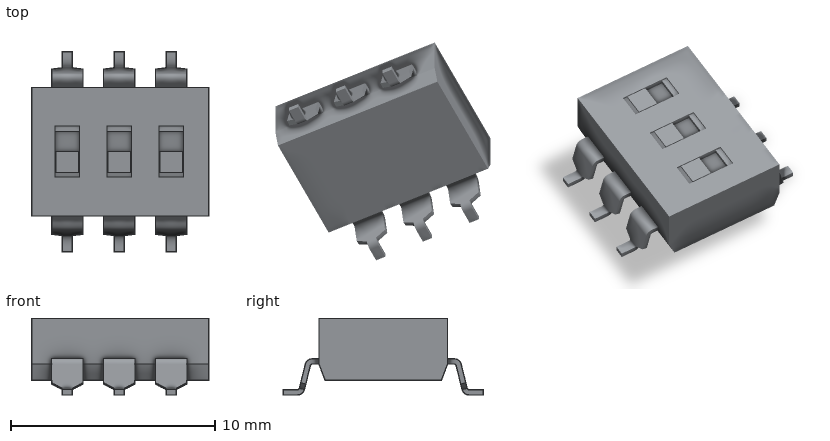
import cadquery as cq
import math


body_length = 8.66
body_width = 6.3
overall_width = 9.8
overall_height = 3.75

body_bottom = 0.72
undercut_inset = 0.3

position_count = 3
pitch = 2.54
row_offset = -0.05
row_centers = [row_offset + (i - (position_count - 1) / 2) * pitch for i in range(position_count)]

slot_width = 1.2
slot_length = 2.5
ledge_depth = 0.1
ledge_length = 0.27
slot_depth = 0.3
slider_width = 1.1
slider_length = 1.02

lead_thickness = 0.265
lead_top = 1.775
lead_width = 1.54
foot_width = 0.5
shoulder_length = 0.327
slant_angle = math.radians(14)
bend_inner_radius = 0.085
taper_length = 0.28

lead_reach = (overall_width - body_width) / 2
lead_bottom = lead_top - lead_thickness
bend_outer_radius = bend_inner_radius + lead_thickness
shoulder_center = (shoulder_length, lead_top - bend_outer_radius)
foot_center_z = lead_thickness + bend_inner_radius
radius_sum = bend_outer_radius + bend_inner_radius
center_drop = shoulder_center[1] - foot_center_z
slant_length = (center_drop + radius_sum * math.sin(slant_angle)) / math.cos(slant_angle)
foot_center_u = (
    shoulder_length + radius_sum * math.cos(slant_angle) + slant_length * math.sin(slant_angle)
)
foot_center = (foot_center_u, foot_center_z)


def polar(center, radius, angle):
    """Point at the given radius and angle around a bend center."""
    return (center[0] + radius * math.cos(angle), center[1] + radius * math.sin(angle))


def extrude_across(profile, width):
    """Extrude a YZ profile to the given width, centered on X = 0."""
    return profile.extrude(width / 2, both=True)


def make_body():
    """Block whose two long sides slope inwards below the leads."""
    half_width = body_width / 2
    bottom_half_width = half_width - undercut_inset
    profile = cq.Workplane("YZ").polyline([
        (-bottom_half_width, body_bottom),
        (bottom_half_width, body_bottom),
        (half_width, lead_bottom),
        (half_width, overall_height),
        (-half_width, overall_height),
        (-half_width, lead_bottom),
    ]).close()
    return extrude_across(profile, body_length)


def make_pocket(length, depth):
    """Rectangular cutter, one slot wide, sunk from the top face."""
    return (
        cq.Workplane("XY", origin=(0, 0, overall_height - depth))
        .rect(slot_width, length)
        .extrude(depth)
    )


def make_slot():
    """Slot cutter with a shallow ledge at each end, leaving the slider standing."""
    slider = (
        cq.Workplane("XY", origin=(0, -slider_length / 2, overall_height - slot_depth))
        .rect(slider_width, slider_length)
        .extrude(slot_depth)
    )
    well = make_pocket(slot_length - 2 * ledge_length, slot_depth)
    return make_pocket(slot_length, ledge_depth).union(well).cut(slider)


def make_shoulder():
    """Flat stub leaving the body and the bend that turns it downwards."""
    bend_middle = (math.pi / 2 + slant_angle) / 2
    profile = (
        cq.Workplane("YZ")
        .moveTo(0, lead_top)
        .lineTo(shoulder_length, lead_top)
        .threePointArc(
            polar(shoulder_center, bend_outer_radius, bend_middle),
            polar(shoulder_center, bend_outer_radius, slant_angle),
        )
        .lineTo(*polar(shoulder_center, bend_inner_radius, slant_angle))
        .threePointArc(
            polar(shoulder_center, bend_inner_radius, bend_middle),
            (shoulder_length, lead_bottom),
        )
        .lineTo(0, lead_bottom)
        .close()
    )
    return extrude_across(profile, lead_width)


def make_slant():
    """Sloping plate, tapering to the foot width at its lower end."""
    start_u, start_z = polar(shoulder_center, bend_inner_radius, slant_angle)
    plane = cq.Plane(
        origin=(0, start_u, start_z),
        xDir=(-1, 0, 0),
        normal=(0, math.cos(slant_angle), math.sin(slant_angle)),
    )
    taper_start = slant_length - taper_length
    return (
        cq.Workplane(plane)
        .polyline([
            (-lead_width / 2, 0),
            (-lead_width / 2, -taper_start),
            (-foot_width / 2, -slant_length),
            (foot_width / 2, -slant_length),
            (lead_width / 2, -taper_start),
            (lead_width / 2, 0),
        ])
        .close()
        .extrude(lead_thickness)
    )


def make_foot():
    """Lower bend and the flat solder foot."""
    bend_start = math.pi + slant_angle
    bend_middle = (bend_start + 3 * math.pi / 2) / 2
    profile = (
        cq.Workplane("YZ")
        .moveTo(*polar(foot_center, bend_inner_radius, bend_start))
        .threePointArc(
            polar(foot_center, bend_inner_radius, bend_middle),
            (foot_center_u, lead_thickness),
        )
        .lineTo(lead_reach, lead_thickness)
        .lineTo(lead_reach, 0)
        .lineTo(foot_center_u, 0)
        .threePointArc(
            polar(foot_center, bend_outer_radius, bend_middle),
            polar(foot_center, bend_outer_radius, bend_start),
        )
        .close()
    )
    return extrude_across(profile, foot_width)


def make_lead():
    """Complete lead on the +Y face of the body."""
    lead = make_shoulder().union(make_slant()).union(make_foot())
    return lead.translate((0, body_width / 2, 0))


slot = make_slot()
back_lead = make_lead()
front_lead = back_lead.mirror("XZ")

result = make_body()
for x in row_centers:
    result = result.cut(slot.translate((x, 0, 0)))
    result = result.union(back_lead.translate((x, 0, 0)))
    result = result.union(front_lead.translate((x, 0, 0)))